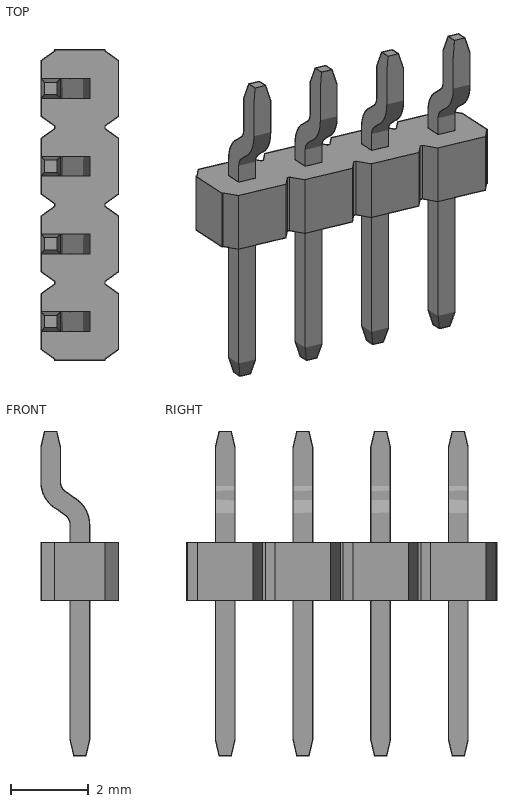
import cadquery as cq
import math

pin_count = 4
pitch = 2.0
body_width = pitch
body_height = 1.5

notch_depth = 0.35
notch_half_opening = 0.28
notch_half_flat = 0.03

pin_size = 0.51
pin_tip_size = 0.32
tip_length = 0.41
pin_bottom = -5.495
pin_top = 2.855

pin_offset = 0.75
bend_inner_radius = 0.3
lower_bend_start = 0.45
upper_bend_end = 1.55
lower_bend_angle = 57
upper_bend_angle = 63

pin_half = pin_size / 2
bend_outer_radius = bend_inner_radius + pin_size


def make_cell():
    """One housing cell: a prism with bevelled corners and narrow flat shoulders."""
    half_x = body_width / 2
    half_y = pitch / 2
    neck_x = half_x - notch_depth
    shoulder_y = half_y - notch_half_opening
    bevel_y = half_y - notch_half_flat
    quadrant = [(half_x, shoulder_y), (neck_x, bevel_y), (neck_x, half_y)]
    right_side = [(x, -y) for x, y in reversed(quadrant)] + quadrant
    left_side = [(-x, -y) for x, y in right_side]
    return cq.Workplane("XY").polyline(right_side + left_side).close().extrude(-body_height)


def polar(centre, radius, angle):
    """Point on a circle in the XZ plane, angle in degrees from +X."""
    turn = math.radians(angle)
    return (centre[0] + radius * math.cos(turn), centre[1] + radius * math.sin(turn))


def make_shank():
    """Constant-thickness part of a pin, between its two tapered tips."""
    lower_centre = (-pin_half - bend_inner_radius, lower_bend_start)
    upper_centre = (-pin_offset + pin_half + bend_inner_radius, upper_bend_end)
    upper_turn = 180 + upper_bend_angle
    bottom = pin_bottom + tip_length
    top = pin_top - tip_length

    inner_seam = polar(lower_centre, bend_inner_radius, lower_bend_angle)
    outer_seam = polar(lower_centre, bend_outer_radius, lower_bend_angle)
    outer_corner = polar(inner_seam, pin_size, upper_bend_angle)

    profile = (
        cq.Workplane("XZ", origin=(0, pin_half, 0))
        .moveTo(-pin_half, bottom)
        .lineTo(pin_half, bottom)
        .lineTo(pin_half, lower_bend_start)
        .threePointArc(polar(lower_centre, bend_outer_radius, lower_bend_angle / 2), outer_seam)
        .lineTo(*outer_corner)
        .lineTo(*polar(upper_centre, bend_inner_radius, upper_turn))
        .threePointArc(
            polar(upper_centre, bend_inner_radius, 180 + upper_bend_angle / 2),
            (pin_half - pin_offset, upper_bend_end),
        )
        .lineTo(pin_half - pin_offset, top)
        .lineTo(-pin_half - pin_offset, top)
        .lineTo(-pin_half - pin_offset, upper_bend_end)
        .threePointArc(
            polar(upper_centre, bend_outer_radius, 180 + upper_bend_angle / 2),
            polar(upper_centre, bend_outer_radius, upper_turn),
        )
        .lineTo(*inner_seam)
        .threePointArc(
            polar(lower_centre, bend_inner_radius, lower_bend_angle / 2),
            (-pin_half, lower_bend_start),
        )
        .close()
    )
    return profile.extrude(pin_size)


def make_tip(x, z_base, direction):
    """Tapered square tip; direction is +1 for upward, -1 for downward."""
    return (
        cq.Workplane("XY", origin=(x, 0, z_base))
        .rect(pin_size, pin_size)
        .workplane(offset=direction * tip_length)
        .rect(pin_tip_size, pin_tip_size)
        .loft(ruled=True)
    )


upper_tip = make_tip(-pin_offset, pin_top - tip_length, 1)
lower_tip = make_tip(0, pin_bottom + tip_length, -1)
pin = make_shank().union(upper_tip).union(lower_tip)
unit = make_cell().union(pin)

result = cq.Workplane("XY")
for index in range(pin_count):
    y = (index - (pin_count - 1) / 2) * pitch
    result = result.union(unit.translate((0, y, 0)))